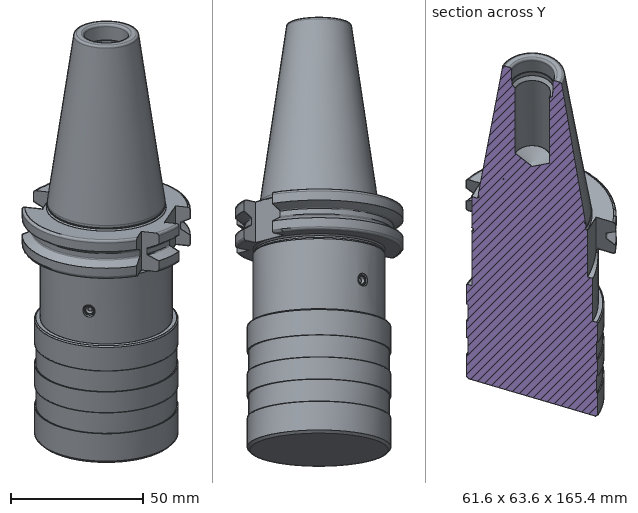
import cadquery as cq
import math

total_length = 165.4

gauge_radius = 22.2
gauge_z = 97.0
taper_slope = 7 / 48
tip_radius = gauge_radius - (total_length - gauge_z) * taper_slope
tip_fillet = 1.0
taper_end_z = 96.0
taper_end_radius = gauge_radius + (gauge_z - taper_end_z) * taper_slope
neck_foot_radius = 22.7
neck_foot_height = 0.5
neck_radius = 22.0
neck_top = 94.8

flange_radius = 31.8
flange_top = 93.8
flange_bottom = 77.9
flange_fillet = 1.0
groove_z = 85.8
groove_radius = 28.1
groove_flank_angle = 30
groove_half_height = 1.3
groove_root_fillet = 0.5
groove_flank_height = (flange_radius - groove_radius) * math.tan(math.radians(groove_flank_angle))

body_radius = 25.0
relief_radius = 24.3
relief_height = 2.0
relief_bevel = body_radius - relief_radius

nut_radius = 27.1
nut_recess_radius = 26.6
nut_top = 48.3
nut_top_chamfer = 0.5
nut_bottom_chamfer = 1.0
nut_band_height = 8.6
nut_lowest_band_top = 12.2
nut_recess_count = 2

slot_width = 16.0
slot_end_z = 70.1
left_slot_floor = 22.8
right_slot_floor = 25.0
notch_x = 18.9
notch_y = 18.7

bore_radius = 8.5
bore_entry_fillet = 1.0
bore_depth = 6.5
bore_seat_radius = 8.3
bore_seat_depth = 8.5
bore_core_radius = 7.0
bore_core_depth = 43.0
bore_tip_half_angle = 59

screw_z = 61.5
screw_mouth_radius = 2.5
screw_mouth_depth = 0.5
screw_radius = 2.0
screw_depth = 0.8
socket_radius = 1.5
socket_tip_radius = 0.8
socket_depth = 1.0


def revolve_profile(points):
    """Solid of revolution about Z from a closed (radius, z) outline."""
    return cq.Workplane("XZ").polyline(points).close().revolve(360, (0, 0), (0, 1))


def make_shank():
    """Taper with a rounded tip, standing on the flange."""
    shank = revolve_profile([
        (0, flange_top),
        (neck_foot_radius, flange_top),
        (neck_radius, flange_top + neck_foot_height),
        (neck_radius, neck_top),
        (taper_end_radius, neck_top),
        (taper_end_radius, taper_end_z),
        (tip_radius, total_length),
        (0, total_length),
    ])
    return shank.faces(">Z").edges().fillet(tip_fillet)


def make_flange():
    """Grip flange with rounded rims and a V groove."""
    flank_outer = groove_half_height + groove_flank_height
    flange = revolve_profile([
        (0, flange_bottom),
        (flange_radius, flange_bottom),
        (flange_radius, groove_z - flank_outer),
        (groove_radius, groove_z - groove_half_height),
        (groove_radius, groove_z + groove_half_height),
        (flange_radius, groove_z + flank_outer),
        (flange_radius, flange_top),
        (0, flange_top),
    ])
    roots = cq.selectors.RadiusNthSelector(0)
    flange = flange.edges("%CIRCLE").edges(roots).fillet(groove_root_fillet)
    return flange.faces("<Z or >Z").edges().fillet(flange_fillet)


def make_body():
    """Cylinder between nut and flange, relieved just under the flange."""
    relief_bottom = flange_bottom - relief_height
    return revolve_profile([
        (0, nut_top),
        (body_radius, nut_top),
        (body_radius, relief_bottom),
        (relief_radius, relief_bottom + relief_bevel),
        (relief_radius, flange_bottom - relief_bevel),
        (body_radius, flange_bottom),
        (0, flange_bottom),
    ])


def make_nut():
    """Chamfered cylinder with the recessed bands cut away."""
    nut = (
        cq.Workplane("XY").circle(nut_radius).extrude(nut_top)
        .faces(">Z").chamfer(nut_top_chamfer)
        .faces("<Z").chamfer(nut_bottom_chamfer)
    )
    for i in range(nut_recess_count):
        start = nut_lowest_band_top + 2 * i * nut_band_height
        recess = (
            cq.Workplane("XY").workplane(offset=start)
            .circle(nut_radius).circle(nut_recess_radius).extrude(nut_band_height)
        )
        nut = nut.cut(recess)
    return nut


def make_drive_slot(side, floor):
    """Slot cutter with a round lower end; side is -1 for -X and +1 for +X."""
    end_radius = slot_width / 2
    end_center_z = slot_end_z + end_radius
    slot = (
        cq.Workplane("YZ")
        .moveTo(-end_radius, flange_top)
        .lineTo(-end_radius, end_center_z)
        .threePointArc((0, slot_end_z), (end_radius, end_center_z))
        .lineTo(end_radius, flange_top)
        .close()
        .extrude(side * flange_radius)
    )
    return slot.translate((side * floor, 0, 0))


def make_orientation_notch():
    """Square-cornered cutter for the notch in the +X, -Y side of the flange."""
    return cq.Workplane("XY").box(
        flange_radius, flange_radius, flange_top - flange_bottom, centered=False
    ).translate((notch_x, -notch_y - flange_radius, flange_bottom))


def make_bore():
    """Rounded entry, pilot bore, stepped seat and core hole with a drill-point bottom."""
    bore_step = bore_radius - bore_seat_radius
    seat_bevel = bore_seat_radius - bore_core_radius
    core_z = total_length - bore_core_depth
    tip_z = core_z - bore_core_radius / math.tan(math.radians(bore_tip_half_angle))
    bore = (
        cq.Workplane("XZ")
        .moveTo(0, total_length)
        .lineTo(bore_radius + bore_entry_fillet, total_length)
        .radiusArc((bore_radius, total_length - bore_entry_fillet), -bore_entry_fillet)
        .lineTo(bore_radius, total_length - bore_depth)
        .lineTo(bore_seat_radius, total_length - bore_depth - bore_step)
        .lineTo(bore_seat_radius, total_length - bore_seat_depth)
        .lineTo(bore_core_radius, total_length - bore_seat_depth - seat_bevel)
        .lineTo(bore_core_radius, core_z)
        .lineTo(0, tip_z)
        .close()
    )
    return bore.revolve(360, (0, 0), (0, 1))


def make_screw_hole():
    """Countersunk radial hole with a small conical socket in its floor, on the -Y flank."""
    floor_y = -body_radius + screw_depth
    socket_floor_y = floor_y + socket_depth
    hole = (
        cq.Workplane("XY")
        .polyline([
            (0, -body_radius),
            (screw_mouth_radius, -body_radius),
            (screw_radius, -body_radius + screw_mouth_depth),
            (screw_radius, floor_y),
            (socket_radius, floor_y),
            (socket_tip_radius, socket_floor_y),
            (0, socket_floor_y),
        ])
        .close()
        .revolve(360, (0, 0), (0, 1))
    )
    return hole.translate((0, 0, screw_z))


result = make_shank().union(make_flange()).union(make_body()).union(make_nut())
result = result.cut(make_drive_slot(-1, left_slot_floor))
result = result.cut(make_drive_slot(1, right_slot_floor))
result = result.cut(make_orientation_notch())
result = result.cut(make_bore())
for angle in (0, 180):
    result = result.cut(make_screw_hole().rotate((0, 0, 0), (0, 0, 1), angle))